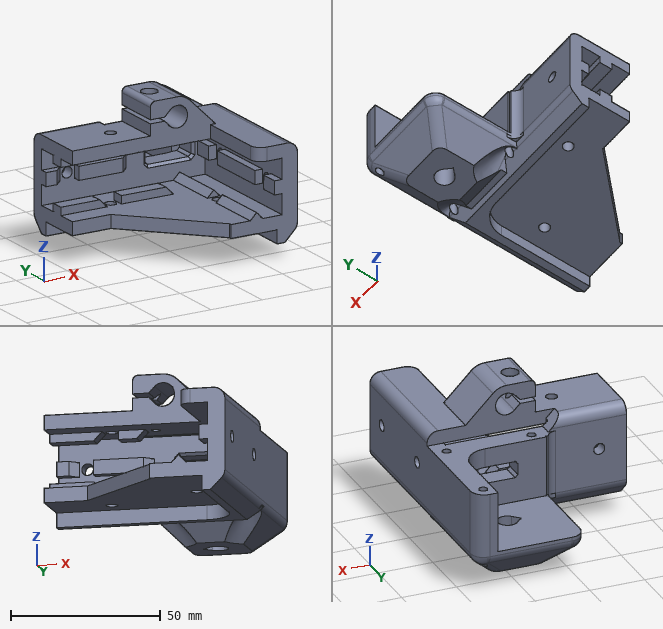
import cadquery as cq
import math

length_x = 70.0
length_y = 90.0
height = 52.0
beam = 20.0
wall = beam / 4
side_wall = 6.0
edge_radius = 4.0

z_foot = wall
z_plate = z_foot + wall
z_beam = z_plate + wall
z_beam_axis = z_beam + beam / 2
z_beam_top = z_beam + beam
z_top = z_beam_top + wall

x_beam_end = length_x - side_wall
x_beam_axis = x_beam_end - beam / 2
y_arm = 1.5 * beam
y_beam_axis = y_arm + beam / 2
y_beam_end = y_arm + beam
y_back = y_beam_end + wall

cut_off_x = 15.0
cut_off_margin = 1.0
foot_width = 3.0
recess_radius = 10.0
top_strip_width = 16.0

rib_width = wall
rib_height = 3.0
rib_gap = 2.8
beam_screw_diameter = 4.0
back_screw_x = 10.0
plate_screw_x = 21.0
short_rib_end = 33.0
bottom_rib_end = 44.1
side_screw_y = 10.0
ridge_screw_y = 25.0

clamp_x = 30.5
clamp_width = 18.5
clamp_slit = 1.4
clamp_edge_radius = 2.0
rod_diameter = 8.0
rod_x = 41.0
rod_z = 45.0
clamp_screw_x = 36.1
clamp_screw_diameter = 3.0
clamp_head_diameter = 6.0
clamp_head_depth = 3.0

y_mount = y_beam_end
mount_size = length_y - y_mount
x_mount = length_x - mount_size
x_motor = x_mount + mount_size / 2
y_motor = y_mount + mount_size / 2
mount_chamfer = beam / 2
mount_corner_radius = 5.0
access_radius = 12.0
valley_height = 6.3
motor_screw_pitch = 31.0
motor_screw_diameter = 3.0
shaft_hole_diameter = 7.0
pocket_wall = 8.0
pocket_floor = 13.0
pocket_radius = 9.0
mouth_step = 0.6
seat_x = 23.6
y_seat = y_arm + clamp_width
slot_start = 26.7
window_length = 18.0
window_height = 6.0
window_depth = 8.5
window_flare = 1.0


def box(x0, x1, y0, y1, z0, z1):
    return cq.Workplane("XY").box(x1 - x0, y1 - y0, z1 - z0, centered=False).translate((x0, y0, z0))


def prism(plane, points, depth, both=False):
    return cq.Workplane(plane).polyline(points).close().extrude(depth, both=both)


def cylinder(diameter, start, direction, length):
    solid = cq.Solid.makeCylinder(diameter / 2, length, cq.Vector(*start), cq.Vector(*direction))
    return cq.Workplane(solid)


def teardrop(plane, diameter, u, v, depth):
    """Round hole with a 45 degree point toward -X."""
    r = diameter / 2
    t = r * math.sqrt(0.5)
    outline = cq.Workplane(plane).moveTo(u - t, v - t).threePointArc((u + r, v), (u - t, v + t))
    return outline.lineTo(u - 2 * t, v).close().extrude(depth)


def level(z):
    """Selects the edges whose centres lie at one height."""
    far = length_x + length_y
    tolerance = 0.1
    return cq.selectors.BoxSelector((-far, -far, z - tolerance), (far, far, z + tolerance))


def arm_block():
    """Both arms as one solid block, with the outer edges of the +X and +Y walls broken."""
    slope_end = cut_off_x + y_arm - cut_off_margin
    outline = [
        (0, y_back),
        (0, y_arm),
        (cut_off_x, y_arm),
        (slope_end, cut_off_margin),
        (slope_end, 0),
        (length_x, 0),
        (length_x, y_back),
    ]
    block = prism("XY", outline, z_top - z_foot).translate((0, 0, z_foot))
    block = block.edges("(>X or >Y) and <Z").chamfer(wall)
    block = block.edges("|X or |Y").edges(level(z_plate)).fillet(edge_radius)
    return block.edges("(>X or >Y) and >Z").fillet(edge_radius)


def mount_block():
    """Square motor mount whose lower part narrows at 45 degrees to a smaller bottom face."""
    block = box(x_mount, length_x, y_mount, length_y, 0, z_beam_top)
    block = block.edges("|Z and >Y").fillet(mount_corner_radius)
    spread = mount_chamfer
    funnel = box(x_mount - spread, length_x + spread, y_mount - spread, length_y + spread, 0, z_top)
    funnel = funnel.edges("<Z").chamfer(mount_chamfer + spread)
    funnel = funnel.edges("not(#Z or |Z)").edges(">Y").fillet(mount_corner_radius)
    block = block.intersect(funnel)
    return block.edges(level(mount_chamfer)).edges("not(<Y)").fillet(edge_radius)


def valley_web():
    """Web filling the narrow valley between the mount and the chamfer of the X arm."""
    inset = mount_chamfer - valley_height
    outline = [
        (x_mount + inset, valley_height),
        (length_x - inset, valley_height),
        (length_x, mount_chamfer),
        (x_mount, mount_chamfer),
    ]
    y_near = y_mount + valley_height - z_foot
    return prism("XZ", outline, y_near - y_mount - inset).translate((0, y_near, 0))


def screw_access():
    """Cones below the two motor screws next to the X arm, extended toward the arm."""
    y = y_motor - motor_screw_pitch / 2
    access = cq.Workplane("XY")
    for side in (-1, 1):
        x = x_motor + side * motor_screw_pitch / 2
        cone = cq.Workplane(cq.Solid.makeCone(access_radius, 0, access_radius)).translate((x, y, 0))
        outline = [(x - access_radius, 0), (x + access_radius, 0), (x, access_radius)]
        run = prism("XZ", outline, y - y_mount).translate((0, y, 0))
        access = access.add(cone.union(run))
    return access.combine()


def corner_fillet():
    """Concave rounding between the back of the X arm and the -X side of the mount."""
    x0 = x_mount - edge_radius
    y1 = y_back + edge_radius
    corner = box(x0, x_mount, y_back, y1, mount_chamfer, z_beam_top)
    return corner.cut(cylinder(2 * edge_radius, (x0, y1, 0), (0, 0, 1), z_top))


def clamp():
    """Rod clamp: a split block on the X arm with a 45 degree slope falling to the top plate."""
    outer_radius = height - rod_z
    tangent = outer_radius * math.sqrt(0.5)
    slope_x = rod_x + tangent
    slope_z = rod_z + tangent
    slope_foot = slope_x + slope_z - z_top
    body = (
        cq.Workplane("XZ", origin=(0, y_seat, 0))
        .moveTo(clamp_x, z_beam_top)
        .lineTo(clamp_x, height - clamp_edge_radius)
        .radiusArc((clamp_x + clamp_edge_radius, height), clamp_edge_radius)
        .lineTo(rod_x, height)
        .radiusArc((slope_x, slope_z), outer_radius)
        .lineTo(slope_foot, z_top)
        .lineTo(slope_foot, z_beam_top)
        .close()
        .extrude(y_seat - y_arm)
    )
    slit = box(clamp_x, rod_x, y_arm, y_seat, rod_z - clamp_slit / 2, rod_z + clamp_slit / 2)
    rod = teardrop("XZ", rod_diameter, rod_x, rod_z, -y_back)
    return body.cut(slit).cut(rod)


def tube_spaces():
    """Space for the two tubes, and the open corner between the arms."""
    spaces = box(0, x_beam_end, 0, y_beam_end, z_beam, z_beam_top)
    x_strip = length_x - top_strip_width
    corner = box(0, x_strip, 0, y_arm, z_beam, z_top)
    rounding = box(x_strip, x_strip + edge_radius, 0, edge_radius, z_beam_top, z_top)
    post = cylinder(2 * edge_radius, (x_strip + edge_radius, edge_radius, z_beam_top), (0, 0, 1), wall)
    return spaces.union(corner).union(rounding.cut(post))


def underside_recess():
    """Recess below the bottom plate, leaving a rim along the +X and +Y walls."""
    x_rim = length_x - wall - foot_width
    y_rim = y_back - wall - foot_width
    recess = box(0, x_rim, 0, y_rim, z_foot, z_plate)
    return recess.edges("|Z and >X and >Y").fillet(recess_radius)


def motor_seat():
    """Clearance over the mount: flat at the mount's top, with a 45 degree slope at its -X end."""
    outline = [(seat_x, z_top), (seat_x + wall, z_beam_top), (length_x, z_beam_top), (length_x, z_top)]
    seat = prism("XZ", outline, y_seat - length_y).translate((0, y_seat, 0))
    return seat.union(box(slot_start, x_beam_end, y_seat, y_beam_end, z_beam_top, z_top))


def mount_pocket():
    """Pocket open toward -X and +Y, with one rounded inner corner."""
    x_wall = length_x - pocket_wall
    y_wall = y_mount + pocket_wall
    x_open = x_mount - edge_radius
    pocket = box(x_open, x_wall, y_wall, length_y, pocket_floor, z_beam_top)
    pocket = pocket.edges("|Z and >X and <Y").fillet(pocket_radius)
    step = box(x_open, x_mount + mouth_step, y_wall - mouth_step, length_y, pocket_floor, z_beam_top)
    return pocket.union(step)


def window_prism(margin, corner, depth, taper):
    """Rectangular prism with cut corners, running from the tube space toward +Y."""
    half_x = window_length / 2 + margin
    half_z = window_height / 2 + margin
    quarter = [(half_x, half_z - corner), (half_x - corner, half_z)]
    upper = quarter + [(-x, z) for x, z in reversed(quarter)]
    outline = upper + [(-x, -z) for x, z in upper]
    start = cq.Workplane("XZ", origin=(x_motor, y_mount, z_beam_axis))
    return start.polyline(outline).close().extrude(-depth, taper=taper)


def belt_window():
    """Window through the back wall into the pocket, flared toward the tube space."""
    flare_corner = window_flare * (3 - math.sqrt(2))
    window = window_prism(0, window_flare, window_depth, 0)
    return window.union(window_prism(window_flare, flare_corner, window_flare, 45))


def mount_holes():
    """Three motor screw holes and the shaft hole."""
    half = motor_screw_pitch / 2
    holes = teardrop("XY", shaft_hole_diameter, x_motor, y_motor, z_beam_top)
    for side_x, side_y in [(-1, -1), (1, -1), (1, 1)]:
        start = (x_motor + side_x * half, y_motor + side_y * half, 0)
        holes = holes.union(cylinder(motor_screw_diameter, start, (0, 0, 1), z_top))
    return holes


def beam_screw_holes():
    """Screw holes that hold the tubes in the arms."""
    d = beam_screw_diameter
    holes = cylinder(d, (back_screw_x, y_beam_axis, z_beam_axis), (0, 1, 0), beam)
    holes = holes.union(cylinder(d, (plate_screw_x, y_beam_axis, 0), (0, 0, 1), z_top))
    holes = holes.union(cylinder(d, (x_beam_axis, ridge_screw_y, 0), (0, 0, 1), z_beam_axis))
    for y in (side_screw_y, y_beam_axis):
        holes = holes.union(cylinder(d, (x_beam_axis, y, z_beam_axis), (1, 0, 0), beam))
    return holes


def clamp_screw_hole():
    """Counterbored screw hole through the clamp."""
    hole = cylinder(clamp_screw_diameter, (clamp_screw_x, y_beam_axis, z_beam_top), (0, 0, 1), height)
    z_head = height - clamp_head_depth
    head = cylinder(clamp_head_diameter, (clamp_screw_x, y_beam_axis, z_head), (0, 0, 1), height)
    return hole.union(head)


def sloped_rib(x0, x1):
    """Rib along X on the plane Z = 0, ending at x1 in a 45 degree slope."""
    outline = [(x0, 0), (x1, 0), (x1 - rib_height, rib_height), (x0, rib_height)]
    return prism("XZ", outline, rib_width / 2, both=True)


def x_arm_ribs():
    """Ribs on the bottom plate, top plate and back wall, interrupted at the screws."""
    ribs = []
    for turn, y, z, screw_x, end_x in [
        (0, y_beam_axis, z_beam, plate_screw_x, bottom_rib_end),
        (180, y_beam_axis, z_beam_top, plate_screw_x, short_rib_end),
        (90, y_beam_end, z_beam_axis, back_screw_x, short_rib_end),
    ]:
        for x0, x1 in [(0, screw_x - rib_gap), (screw_x + rib_gap, end_x)]:
            rib = sloped_rib(x0, x1).rotate((0, 0, 0), (1, 0, 0), turn)
            ribs.append(rib.translate((0, y, z)))
    return ribs


def y_arm_ribs():
    """Square ribs on the +X wall and pointed ribs on the bottom plate, interrupted at the screws."""
    ribs = []
    z0 = z_beam_axis - rib_width / 2
    for y0, y1 in [
        (0, side_screw_y - rib_gap),
        (side_screw_y + rib_gap, y_beam_axis - rib_gap),
        (y_beam_axis + rib_gap, y_beam_end),
    ]:
        ribs.append(box(x_beam_end - rib_height, x_beam_end, y0, y1, z0, z0 + rib_width))
    half = rib_width / 2
    ridge = [(x_beam_axis - half, z_beam), (x_beam_axis + half, z_beam), (x_beam_axis, z_beam + half)]
    for y0, y1 in [(0, ridge_screw_y - rib_gap), (ridge_screw_y + rib_gap, y_beam_end)]:
        ribs.append(prism("XZ", ridge, y0 - y1).translate((0, y0, 0)))
    return ribs


mount = mount_block().union(valley_web()).cut(screw_access())
body = arm_block().union(mount).union(corner_fillet())
body = body.cut(tube_spaces()).cut(underside_recess()).cut(motor_seat()).union(clamp())
for rib in x_arm_ribs() + y_arm_ribs():
    body = body.union(rib)
for opening in [mount_pocket(), belt_window(), mount_holes(), beam_screw_holes(), clamp_screw_hole()]:
    body = body.cut(opening)
result = body